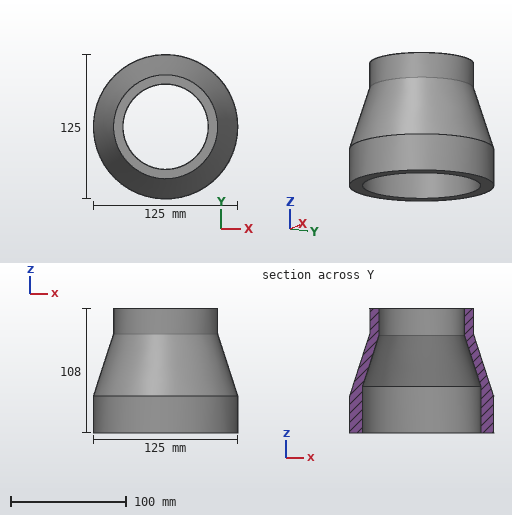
import cadquery as cq
import math

large_outer_diameter = 125.0
large_wall = 11.4
small_outer_diameter = 90.0
small_wall = 8.2

total_height = 108.0
large_spigot_length = 32.0
small_spigot_length = 22.0

large_outer_radius = large_outer_diameter / 2
large_bore_radius = large_outer_radius - large_wall
small_outer_radius = small_outer_diameter / 2
small_bore_radius = small_outer_radius - small_wall

outer_cone_bottom = large_spigot_length
outer_cone_top = total_height - small_spigot_length
cone_half_angle = math.atan2(large_outer_radius - small_outer_radius, outer_cone_top - outer_cone_bottom)

inner_cone_top = outer_cone_top - small_wall * math.tan(cone_half_angle / 2)
inner_cone_length = (large_bore_radius - small_bore_radius) / math.tan(cone_half_angle)
inner_cone_bottom = inner_cone_top - inner_cone_length


def coned_cylinder(large_radius, small_radius, cone_bottom, cone_top):
    """Solid of revolution about Z: large cylinder, cone, then small cylinder."""
    profile = (
        cq.Workplane("XZ")
        .lineTo(large_radius, 0)
        .lineTo(large_radius, cone_bottom)
        .lineTo(small_radius, cone_top)
        .lineTo(small_radius, total_height)
        .lineTo(0, total_height)
        .close()
    )
    return profile.revolve(360, (0, 0, 0), (0, 1, 0))


body = coned_cylinder(large_outer_radius, small_outer_radius, outer_cone_bottom, outer_cone_top)
bore = coned_cylinder(large_bore_radius, small_bore_radius, inner_cone_bottom, inner_cone_top)

result = body.cut(bore)